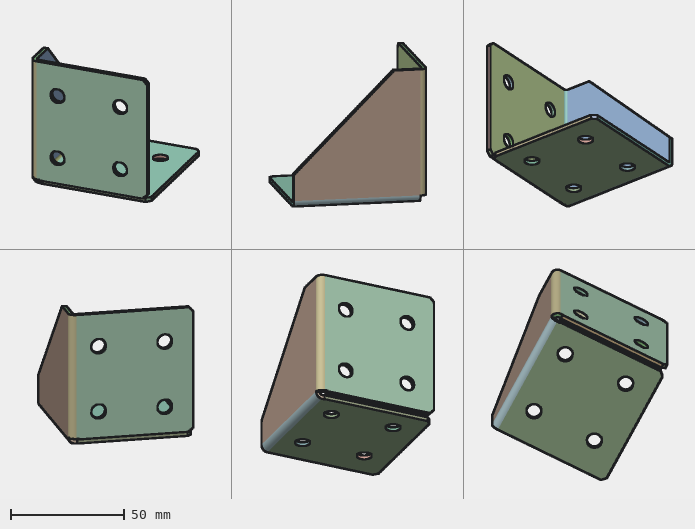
import cadquery as cq

size = 60.0
panel_width = 56.0
thickness = 2.0
bend_radius = 3.0
inner_radius = bend_radius - thickness

panel_edge = 2.7
relief_end = 4.0
corner_chamfer = 2.0
web_land = 15.0

hole_diameter = 6.6
hole_pitch = 30.0
hole_x = 13.0
hole_height = 15.0


def make_web():
    """Triangular web in the YZ plane, clear of both bends."""
    return (
        cq.Workplane("YZ")
        .moveTo(bend_radius, bend_radius)
        .lineTo(size, bend_radius)
        .lineTo(size, web_land)
        .lineTo(web_land, size)
        .lineTo(bend_radius, size)
        .close()
        .extrude(thickness)
    )


def make_bend():
    """Quarter-round bend running up Z, from the web to the front panel."""
    return (
        cq.Workplane("XY", origin=(0, 0, bend_radius))
        .moveTo(0, bend_radius)
        .radiusArc((bend_radius, 0), -bend_radius)
        .lineTo(bend_radius, thickness)
        .radiusArc((thickness, bend_radius), inner_radius)
        .close()
        .extrude(size - bend_radius)
    )


def make_panel():
    """Flat front panel with corner relief, chamfered corners and four holes."""
    panel = (
        cq.Workplane("XZ")
        .moveTo(bend_radius, bend_radius)
        .lineTo(relief_end, bend_radius)
        .lineTo(relief_end, panel_edge)
        .lineTo(panel_width - corner_chamfer, panel_edge)
        .lineTo(panel_width, panel_edge + corner_chamfer)
        .lineTo(panel_width, size - corner_chamfer)
        .lineTo(panel_width - corner_chamfer, size)
        .lineTo(bend_radius, size)
        .close()
        .extrude(-thickness)
    )
    centres = [
        (hole_x + column * hole_pitch, hole_height + row * hole_pitch)
        for column in range(2)
        for row in range(2)
    ]
    holes = cq.Workplane("XZ").pushPoints(centres).circle(hole_diameter / 2).extrude(-thickness)
    return panel.cut(holes)


def swap_y_and_z(body):
    """Mirror a body in the plane Y = Z."""
    turned = body.rotate((0, 0, 0), (1, 0, 0), 90)
    return turned.mirror("XZ")


front_side = make_bend().union(make_panel())
bottom_side = swap_y_and_z(front_side)
result = make_web().union(front_side).union(bottom_side)